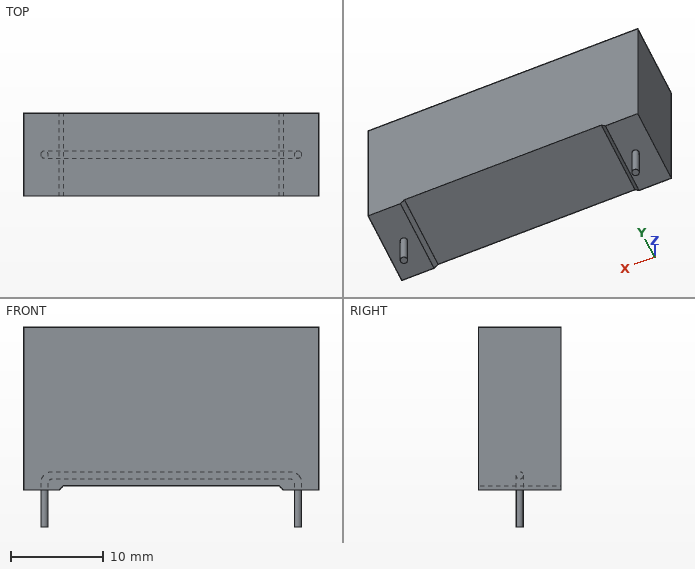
import cadquery as cq
import math

case_length = 32.0
case_depth = 9.0
overall_height = 21.7
lead_reach = 4.0
case_height = overall_height - lead_reach
foot_length = 3.85
standoff = 0.48

lead_diameter = 0.8
lead_spacing = 27.5
bend_radius = lead_diameter
bridge_height = 2 * bend_radius


def make_lead_wire():
    """Bent wire with both leads, swept along its centre line in the XZ plane."""
    lead_x = lead_spacing / 2
    bridge_end_x = lead_x - bend_radius
    bend_start_z = bridge_height - bend_radius
    arc_offset = bend_radius * math.sin(math.radians(45))
    arc_middle_x = bridge_end_x + arc_offset
    arc_middle_z = bend_start_z + arc_offset
    centre_line = (
        cq.Workplane("XZ")
        .moveTo(-lead_x, -lead_reach)
        .lineTo(-lead_x, bend_start_z)
        .threePointArc((-arc_middle_x, arc_middle_z), (-bridge_end_x, bridge_height))
        .lineTo(bridge_end_x, bridge_height)
        .threePointArc((arc_middle_x, arc_middle_z), (lead_x, bend_start_z))
        .lineTo(lead_x, -lead_reach)
    )
    lead_tip = cq.Workplane("XY", origin=(-lead_x, 0, -lead_reach)).circle(lead_diameter / 2)
    return lead_tip.sweep(centre_line)


def make_case(lead_wire):
    """Box with a shallow gap between its feet and a channel that fits the lead wire."""
    half_length = case_length / 2
    gap_half_length = half_length - foot_length
    gap_top_half_length = gap_half_length - standoff
    case_outline = [
        (-half_length, 0),
        (-half_length, case_height),
        (half_length, case_height),
        (half_length, 0),
        (gap_half_length, 0),
        (gap_top_half_length, standoff),
        (-gap_top_half_length, standoff),
        (-gap_half_length, 0),
    ]
    block = cq.Workplane("XZ").polyline(case_outline).close().extrude(case_depth / 2, both=True)
    return block.cut(lead_wire).solids()


lead_wire = make_lead_wire()
case = make_case(lead_wire)

result = cq.Compound.makeCompound([case.val(), lead_wire.val()])